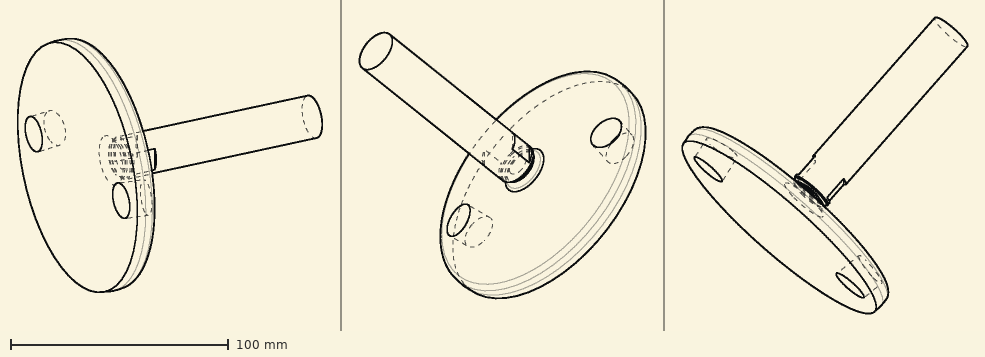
import cadquery as cq
import math


RIM_RADIUS = 117.98 / 2
FLOOR_RADIUS = 58.5
RIM_HEIGHT = 4.0
SHOULDER_RADIUS = 58.7
SHOULDER_HEIGHT = 9.5
SHOULDER_ROUND = 2.5
CONE_INNER_RADIUS = 11.6
CONE_INNER_HEIGHT = 17.3
COLLAR_LOWER_RADIUS = 10.2
COLLAR_LOWER_HEIGHT = 18.2
SEAT_RADIUS = 8.2
SEAT_HEIGHT = 20.3

HOLE_DIAMETER = 16.5
HOLE_OFFSET = 42.7
HOLE_TILT = math.atan2(CONE_INNER_HEIGHT - SHOULDER_HEIGHT, SHOULDER_RADIUS - CONE_INNER_RADIUS)
HOLE_CUT_LENGTH = 60.0

OVERALL_HEIGHT = 122.0
SHAFT_RADIUS = 20.0 / 2
SHAFT_BOTTOM = 22.3
SHAFT_CHAMFER = 0.5
NECK_RADIUS = 5.0
FLANGE_RADIUS = 8.9
FLANGE_HEIGHT = 21.0
FLATS_BOTTOM = 24.0
FLATS_TOP = 35.7
FLATS_WIDTH = 17.0


def make_foot():
    """Conical foot plate with a rounded rim, a central collar and two anchor holes."""
    profile = (
        cq.Workplane("XY")
        .lineTo(FLOOR_RADIUS, 0)
        .lineTo(RIM_RADIUS, RIM_HEIGHT)
        .lineTo(SHOULDER_RADIUS, SHOULDER_HEIGHT)
        .lineTo(CONE_INNER_RADIUS, CONE_INNER_HEIGHT)
        .lineTo(COLLAR_LOWER_RADIUS, COLLAR_LOWER_HEIGHT)
        .lineTo(SEAT_RADIUS, SEAT_HEIGHT)
        .lineTo(0, SEAT_HEIGHT)
        .close()
    )
    foot = profile.revolve(360, (0, 0, 0), (0, 1, 0))
    shoulder_centre = (0, SHOULDER_HEIGHT, 0)
    shoulder = foot.edges(cq.selectors.NearestToPointSelector(shoulder_centre))
    foot = shoulder.fillet(SHOULDER_ROUND)
    for side in (-1, 1):
        foot = foot.cut(make_anchor_hole(side))
    return foot


def make_anchor_hole(side):
    """Cutter for the anchor hole on the -X (side = -1) or +X (side = 1) half."""
    axis = cq.Vector(side * math.sin(HOLE_TILT), math.cos(HOLE_TILT), 0)
    start = cq.Vector(side * HOLE_OFFSET, 0, 0) - axis * (HOLE_CUT_LENGTH / 2)
    return cq.Workplane(cq.Solid.makeCylinder(HOLE_DIAMETER / 2, HOLE_CUT_LENGTH, start, axis))


def make_spindle():
    """Plain shaft with two wrench flats and a sharp-edged flange resting on the collar."""
    profile = (
        cq.Workplane("XY")
        .moveTo(0, SEAT_HEIGHT)
        .lineTo(SEAT_RADIUS, SEAT_HEIGHT)
        .lineTo(FLANGE_RADIUS, FLANGE_HEIGHT)
        .lineTo(NECK_RADIUS, SHAFT_BOTTOM)
        .lineTo(SHAFT_RADIUS - SHAFT_CHAMFER, SHAFT_BOTTOM)
        .lineTo(SHAFT_RADIUS, SHAFT_BOTTOM + SHAFT_CHAMFER)
        .lineTo(SHAFT_RADIUS, OVERALL_HEIGHT)
        .lineTo(0, OVERALL_HEIGHT)
        .close()
    )
    spindle = profile.revolve(360, (0, 0, 0), (0, 1, 0))
    flat_middle = (FLATS_BOTTOM + FLATS_TOP) / 2
    for side in (-1, 1):
        notch_x = side * (FLATS_WIDTH + SHAFT_RADIUS) / 2
        notch = cq.Workplane("XY").box(SHAFT_RADIUS, FLATS_TOP - FLATS_BOTTOM, 2 * SHAFT_RADIUS)
        spindle = spindle.cut(notch.translate((notch_x, flat_middle, 0)))
    return spindle


foot = make_foot()
spindle = make_spindle()

result = cq.Compound.makeCompound([foot.val(), spindle.val()])